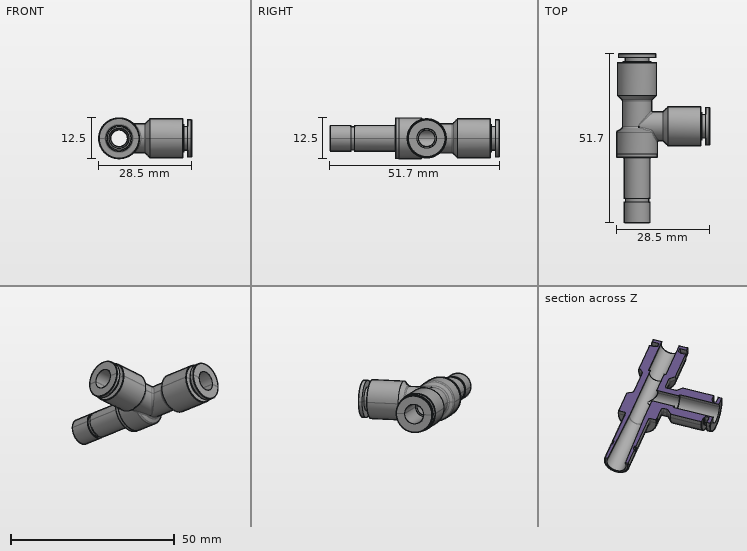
import cadquery as cq


port_end = 22.2
disc_diameter = 11.5
disc_thickness = 1.25
disc_chamfer = 0.15
neck_diameter = 7.3
lip_diameter = 8.5
lip_height = 0.3
body_diameter = 12.0
body_end = 19.5
body_start = 9.45
body_chamfer = 0.15
stem_diameter = 9.0
branch_stem_diameter = 8.95
stem_fillet = 0.5
port_bore_diameter = 6.0

junction_fillet = 0.4

collar_diameter = 12.5
collar_cone_top = -0.55
collar_cone_bottom = -1.6
collar_cone_fillet = 0.8
collar_edge_fillet = 0.6
collar_bottom = -8.45
flange_diameter = 12.4
flange_bottom = -9.55
flange_chamfer = 0.15
tail_diameter = 7.95
tail_end = port_end - 51.7
tail_root_fillet = 0.25
tail_chamfer_length = 0.2
tail_chamfer_depth = 0.39
groove_diameter = 7.2
groove_top = -22.0
groove_bottom = -23.1

through_bore_diameter = 5.0
tail_mouth_diameter = 6.15


def half_revolve(profile):
    """Revolve (radius, y) points half a turn about Y, filling the half above Z = 0."""
    points = [(0, profile[0][1])] + profile + [(0, profile[-1][1])]
    mirrored = [(-radius, y) for radius, y in points]
    return cq.Workplane("XY").polyline(mirrored).close().revolve(180, (0, 0), (0, 1))


def turn_to_x(shape):
    return shape.rotate((0, 0, 0), (0, 0, 1), -90)


def fillet_circle(shape, diameter, station, radius):
    """Round the circular edge of a given diameter at a station along Y."""
    reach = diameter / 2 + 0.05
    tolerance = 0.005
    selector = cq.selectors.BoxSelector(
        (-reach, station - tolerance, -reach),
        (reach, station + tolerance, reach),
        boundingbox=True,
    )
    return shape.edges(selector).fillet(radius)


def cone_foot(diameter):
    """Station where the 45 degree body cone meets a stem of the given diameter."""
    return body_start - (body_diameter - diameter) / 2


def port_profile(diameter):
    """Port outline from the foot of the body cone on its stem out to the release disc."""
    body_radius = body_diameter / 2
    lip_radius = lip_diameter / 2
    neck_radius = neck_diameter / 2
    disc_radius = disc_diameter / 2
    return [
        (diameter / 2, cone_foot(diameter)),
        (body_radius, body_start),
        (body_radius, body_end - body_chamfer),
        (body_radius - body_chamfer, body_end),
        (lip_radius, body_end),
        (lip_radius, body_end + lip_height),
        (neck_radius, body_end + lip_height),
        (neck_radius, port_end - disc_thickness),
        (disc_radius, port_end - disc_thickness),
        (disc_radius, port_end - disc_chamfer),
        (disc_radius - disc_chamfer, port_end),
    ]


def tail_profile():
    """Outline from the tail end up through the groove, flange and collar to the stem."""
    flange_radius = flange_diameter / 2
    tail_radius = tail_diameter / 2
    groove_radius = groove_diameter / 2
    collar_radius = collar_diameter / 2
    return [
        (tail_radius - tail_chamfer_depth, tail_end),
        (tail_radius, tail_end + tail_chamfer_length),
        (tail_radius, groove_bottom),
        (groove_radius, groove_bottom),
        (groove_radius, groove_top),
        (tail_radius, groove_top),
        (tail_radius, flange_bottom),
        (flange_radius - flange_chamfer, flange_bottom),
        (flange_radius, flange_bottom + flange_chamfer),
        (flange_radius, collar_bottom),
        (collar_radius, collar_bottom),
        (collar_radius, collar_cone_bottom),
        (stem_diameter / 2, collar_cone_top),
    ]


def make_run():
    """Straight run along Y: tail, collar, stem and +Y port."""
    run = half_revolve(tail_profile() + port_profile(stem_diameter))
    run = fillet_circle(run, stem_diameter, cone_foot(stem_diameter), stem_fillet)
    run = fillet_circle(run, stem_diameter, collar_cone_top, collar_cone_fillet)
    run = fillet_circle(run, collar_diameter, collar_cone_bottom, collar_edge_fillet)
    return fillet_circle(run, tail_diameter, flange_bottom, tail_root_fillet)


def make_branch():
    """Stem and port along +X, starting at the run axis."""
    branch = half_revolve([(branch_stem_diameter / 2, 0)] + port_profile(branch_stem_diameter))
    foot = cone_foot(branch_stem_diameter)
    return turn_to_x(fillet_circle(branch, branch_stem_diameter, foot, stem_fillet))


def make_port_bore():
    bore_radius = port_bore_diameter / 2
    through_radius = through_bore_diameter / 2
    return half_revolve([
        (through_radius, 0),
        (through_radius, body_start),
        (bore_radius, body_start),
        (bore_radius, port_end),
    ])


def make_run_passage():
    """Passage tapering from the tail mouth to the flange, then straight to the port bore."""
    through_radius = through_bore_diameter / 2
    bore_radius = port_bore_diameter / 2
    return half_revolve([
        (tail_mouth_diameter / 2, tail_end),
        (through_radius, flange_bottom),
        (through_radius, body_start),
        (bore_radius, body_start),
        (bore_radius, port_end),
    ])


def make_outside():
    """Upper half of the run and branch, with their junction rounded."""
    outside = make_run().union(make_branch())
    stem_radius = stem_diameter / 2
    crotch = cq.selectors.BoxSelector((0.5, 0.5, 0.5), (stem_radius, stem_radius, stem_radius))
    return outside.edges(crotch).fillet(junction_fillet)


upper_half = make_outside().cut(make_run_passage()).cut(turn_to_x(make_port_bore()))
result = upper_half.union(upper_half.mirror("XY"), clean=False)